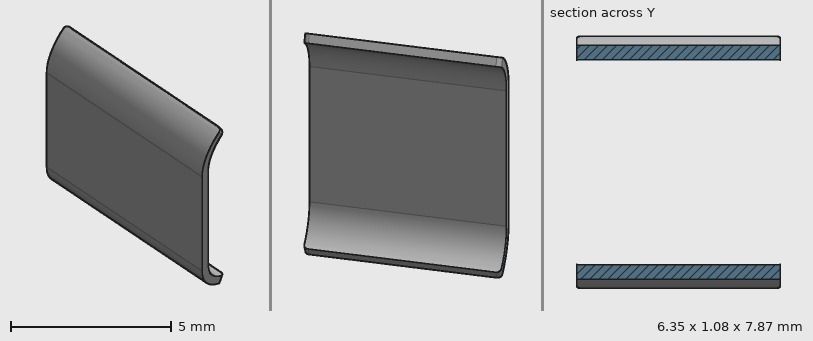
import cadquery as cq
import math

width = 6.35
height = 7.874
flat_height = 4.826
thickness = 0.3048
inner_radius = 1.397
corner_radius = 0.1524

outer_radius = inner_radius + thickness
half_flat = flat_height / 2
lip_rise = (height - flat_height) / 2
bend_angle = math.asin(lip_rise / outer_radius)


def bend_point(radius, angle, side):
    """(Y, Z) point on the upper (side=1) or lower (side=-1) bend, with the web's outer face at Y = 0."""
    y = outer_radius - radius * math.cos(angle)
    z = half_flat + radius * math.sin(angle)
    return (y, side * z)


def make_curled_sheet():
    """Extrude the C-shaped sheet profile, centred across its width."""
    half_angle = bend_angle / 2
    profile = (
        cq.Workplane("YZ")
        .moveTo(*bend_point(outer_radius, 0, -1))
        .lineTo(*bend_point(outer_radius, 0, 1))
        .threePointArc(bend_point(outer_radius, half_angle, 1), bend_point(outer_radius, bend_angle, 1))
        .lineTo(*bend_point(inner_radius, bend_angle, 1))
        .threePointArc(bend_point(inner_radius, half_angle, 1), bend_point(inner_radius, 0, 1))
        .lineTo(*bend_point(inner_radius, 0, -1))
        .threePointArc(bend_point(inner_radius, half_angle, -1), bend_point(inner_radius, bend_angle, -1))
        .lineTo(*bend_point(outer_radius, bend_angle, -1))
        .threePointArc(bend_point(outer_radius, half_angle, -1), bend_point(outer_radius, 0, -1))
        .close()
    )
    return profile.extrude(width / 2, both=True)


def round_lip_corners(sheet):
    """Round the through-thickness edges at both ends of each lip."""
    middle_radius = (inner_radius + outer_radius) / 2
    for side in (1, -1):
        tip_y, tip_z = bend_point(middle_radius, bend_angle, side)
        for x in (-width / 2, width / 2):
            corner = cq.selectors.NearestToPointSelector((x, tip_y, tip_z))
            sheet = sheet.edges(corner).fillet(corner_radius)
    return sheet


result = round_lip_corners(make_curled_sheet())